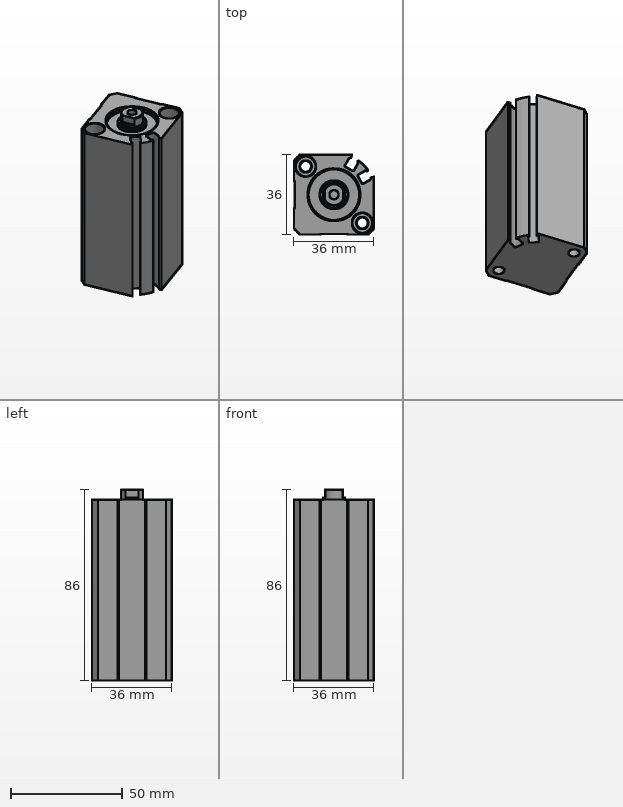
import cadquery as cq
import math

side = 36.0
half_side = side / 2
overall_height = 86.0
rod_projection = 4.5
housing_height = overall_height - rod_projection

corner_chamfer = 2.75
sensor_corner_radius = 18.9
panel_depth = 0.3
panel_floor_width = 11.8
panel_mouth_width = 12.9

slot_angles = (30, 60)
slot_floor_reach = 13.5
slot_shoulder_reach = 17.55
slot_neck_reach = 18.2
slot_mouth_reach = 21.5
slot_width = 4.6
slot_neck_width = 3.3
slot_mouth_width = 4.8
slot_floor_fillet = 0.4

mount_offset = 12.7
mount_hole_diameter = 5.0
mount_hole_chamfer = 0.3
counterbore_diameter = 8.95
counterbore_depth = 7.0
counterbore_chamfer = 0.215

recess_diameter = 22.8
recess_depth = 2.0
recess_chamfer = 0.5
collar_diameter = 13.0
collar_height = 1.6
collar_chamfer = 0.4

rod_diameter = 10.0
rod_top_chamfer = 0.3
rod_flat_width = 8.0
rod_flat_height = 3.5
rod_hole_diameter = 4.1
rod_hole_depth = 10.3
rod_length = 34.4
rod_bottom = overall_height - rod_length

recess_floor = housing_height - recess_depth


def cylinder(diameter, bottom, height):
    return cq.Workplane("XY").workplane(offset=bottom).circle(diameter / 2).extrude(height)


def countersink(diameter, chamfer, top):
    """Cone that breaks the upper edge of a hole by a 45 degree chamfer."""
    cone = cq.Solid.makeCone(
        diameter / 2, diameter / 2 + chamfer, chamfer, pnt=cq.Vector(0, 0, top - chamfer)
    )
    return cq.Workplane(cone)


def on_sensor_arc(angle):
    """Point on the sensor corner arc, at an angle in degrees from +X."""
    turn = math.radians(angle)
    return (sensor_corner_radius * math.cos(turn), sensor_corner_radius * math.sin(turn))


def housing_block():
    """Square block with three chamfered corners and an arc at the sensor corner.

    The steps from the sides to the arc lie on the slot axes, so the slots remove them.
    """
    plain = half_side - corner_chamfer
    first_angle, last_angle = slot_angles
    slot_on_side = half_side * math.tan(math.radians(first_angle))
    return (
        cq.Workplane("XY")
        .moveTo(-plain, -half_side)
        .lineTo(plain, -half_side)
        .lineTo(half_side, -plain)
        .lineTo(half_side, slot_on_side)
        .lineTo(*on_sensor_arc(first_angle))
        .threePointArc(on_sensor_arc((first_angle + last_angle) / 2), on_sensor_arc(last_angle))
        .lineTo(slot_on_side, half_side)
        .lineTo(-plain, half_side)
        .lineTo(-half_side, plain)
        .lineTo(-half_side, -plain)
        .close()
        .extrude(housing_height)
    )


def side_panel():
    """Shallow panel with sloped edges, cut into the -Y side over the full height."""
    floor = -half_side + panel_depth
    outline = [
        (-panel_mouth_width / 2, -half_side),
        (panel_mouth_width / 2, -half_side),
        (panel_floor_width / 2, floor),
        (-panel_floor_width / 2, floor),
    ]
    return cq.Workplane("XY").polyline(outline).close().extrude(housing_height)


def sensor_slot():
    """Undercut slot along +X with a narrow neck and a flared mouth, full height."""
    one_side = [
        (slot_floor_reach, slot_width / 2),
        (slot_shoulder_reach, slot_width / 2),
        (slot_neck_reach, slot_neck_width / 2),
        (slot_mouth_reach, slot_mouth_width / 2),
    ]
    other_side = [(x, -y) for x, y in reversed(one_side)]
    slot = cq.Workplane("XY").polyline(one_side + other_side).close().extrude(housing_height)
    return slot.faces("<X").edges("|Z").fillet(slot_floor_fillet)


def mounting_hole():
    """Through hole with a counterbore at the rod end, both edges broken."""
    seat = housing_height - counterbore_depth
    return (
        cylinder(mount_hole_diameter, 0, housing_height)
        .union(countersink(mount_hole_diameter, mount_hole_chamfer, seat))
        .union(cylinder(counterbore_diameter, seat, counterbore_depth))
        .union(countersink(counterbore_diameter, counterbore_chamfer, housing_height))
    )


def end_recess():
    """Round recess in the end face that leaves the collar standing on its floor."""
    collar = (
        cylinder(collar_diameter, recess_floor, collar_height)
        .faces(">Z").edges().chamfer(collar_chamfer)
    )
    return (
        cylinder(recess_diameter, recess_floor, recess_depth)
        .union(countersink(recess_diameter, recess_chamfer, housing_height))
        .cut(collar)
    )


def make_housing():
    body = housing_block()
    body = body.cut(side_panel())
    body = body.cut(side_panel().rotate((0, 0, 0), (0, 0, 1), -90))
    for angle in slot_angles:
        body = body.cut(sensor_slot().rotate((0, 0, 0), (0, 0, 1), angle))
    for sign in (-1, 1):
        body = body.cut(mounting_hole().translate((sign * mount_offset, -sign * mount_offset, 0)))
    body = body.cut(end_recess())
    rod_bore = cylinder(rod_diameter, rod_bottom, rod_length)
    return body.cut(rod_bore)


def make_rod():
    """Round rod with a chamfered tip, two flats facing -X and +X, and a blind hole."""
    body = cylinder(rod_diameter, rod_bottom, rod_length).faces(">Z").edges().chamfer(rod_top_chamfer)
    flat_bottom = overall_height - rod_flat_height
    between_flats = (
        cq.Workplane("XY").workplane(offset=flat_bottom)
        .rect(rod_flat_width, rod_diameter).extrude(rod_flat_height)
    )
    flats = cylinder(rod_diameter, flat_bottom, rod_flat_height).cut(between_flats)
    hole = cylinder(rod_hole_diameter, overall_height - rod_hole_depth, rod_hole_depth)
    return body.cut(flats).cut(hole)


housing = make_housing()
rod = make_rod()

result = cq.Compound.makeCompound([housing.val(), rod.val()])